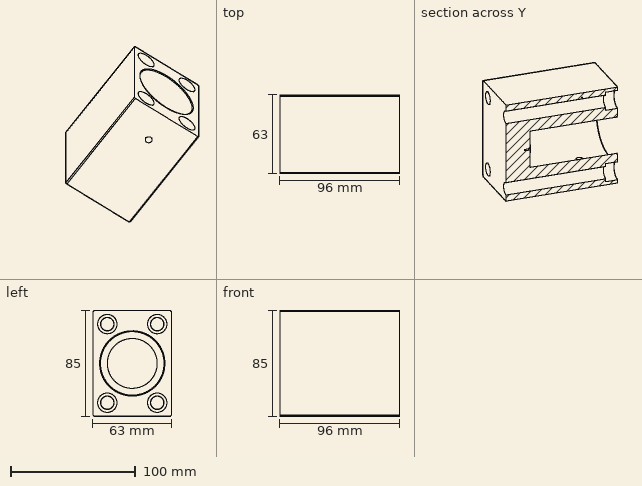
import cadquery as cq

LENGTH = 96.0
WIDTH = 63.0
HEIGHT = 85.0
EDGE_CHAMFER = 1.0

BORE_DIAMETER = 51.0
BORE_DEPTH = 75.0
MOUTH_CHAMFER = 0.7
MOUTH_TAPER = 45.0
RECESS_DIAMETER = 40.0
RECESS_DEPTH = 5.0

BOLT_SPACING_Y = 40.0
BOLT_SPACING_Z = 63.0
BOLT_DIAMETER = 10.5
COUNTERBORE_DIAMETER = 15.5
COUNTERBORE_DEPTH = 10.2

PORT_DIAMETER = 5.5
PORT_DISTANCE = 25.0

OPEN_END_X = -LENGTH / 2
BOTTOM_Z = -HEIGHT / 2


def rod_from_open_end(diameter, depth, taper=0.0):
    """Round solid on the X axis, reaching from the -X end into the block."""
    end_plane = cq.Workplane("YZ", origin=(OPEN_END_X, 0, 0))
    return end_plane.circle(diameter / 2).extrude(depth, taper=taper)


def make_block():
    block = cq.Workplane("XY").box(LENGTH, WIDTH, HEIGHT)
    return block.edges("|X").chamfer(EDGE_CHAMFER)


def make_bore():
    """Main bore with a chamfered mouth and a smaller recess in its floor."""
    bore = rod_from_open_end(BORE_DIAMETER, BORE_DEPTH)
    mouth = rod_from_open_end(BORE_DIAMETER + 2 * MOUTH_CHAMFER, MOUTH_CHAMFER, MOUTH_TAPER)
    recess = rod_from_open_end(RECESS_DIAMETER, BORE_DEPTH + RECESS_DEPTH)
    return bore.union(mouth).union(recess)


def make_port():
    """Vertical drilling that ends on the bore axis."""
    bottom_plane = cq.Workplane("XY", origin=(OPEN_END_X + PORT_DISTANCE, 0, BOTTOM_Z))
    return bottom_plane.circle(PORT_DIAMETER / 2).extrude(-BOTTOM_Z)


def make_bolt_hole():
    shank = rod_from_open_end(BOLT_DIAMETER, LENGTH)
    counterbore = rod_from_open_end(COUNTERBORE_DIAMETER, COUNTERBORE_DEPTH)
    return shank.union(counterbore)


def cut_bolt_holes(body):
    bolt_hole = make_bolt_hole()
    for side_y in (-1, 1):
        for side_z in (-1, 1):
            position = (0, side_y * BOLT_SPACING_Y / 2, side_z * BOLT_SPACING_Z / 2)
            body = body.cut(bolt_hole.translate(position))
    return body


drilled_block = make_block().cut(make_bore()).cut(make_port())
result = cut_bolt_holes(drilled_block)